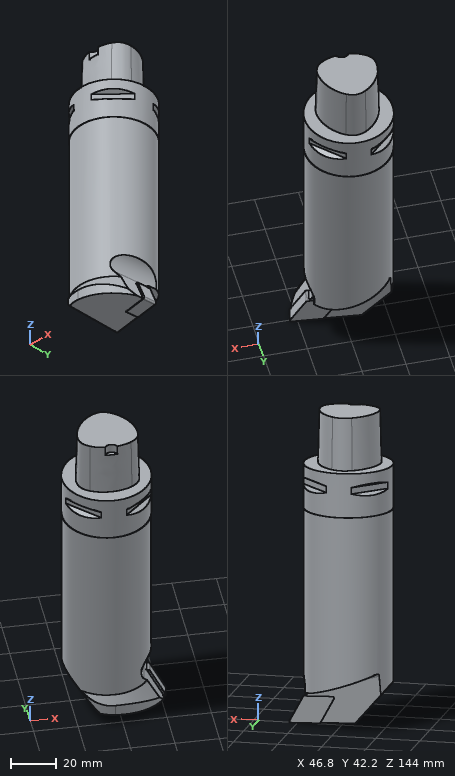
import cadquery as cq
import math


shank_length = 23.9
lobe_mean_radius = 14.1
lobe_rise = 0.94
lobe_face_count = 6
lobe_curve_steps = 6
shank_taper = 1 / 20
shank_top_mean_radius = lobe_mean_radius - shank_length * shank_taper / 2
keyway_radius = 3.0
keyway_center_y = -13.7
keyway_depth = 4.2

flange_diameter = 40.0
flange_length = 20.2
groove_count = 4
first_groove_angle = 45
groove_z = -7.8
groove_floor_distance = 17.5
groove_floor_width = 2.9
groove_mouth_width = 5.5

body_diameter = 39.7
flare_start_z = -105.8
flare_half_angle = 28
head_end_z = -129.6
head_front_y = -22.2
head_left_radius = 15.8
head_right_radius = 28.8

relief_top_z = -99.4
relief_end_x = -4.5
relief_end_z = -117.4

tip = (27.4, 0, -120.2)
rake_y_per_x = -0.19
rake_y_per_z = 0.105
inward = cq.Vector(rake_y_per_x, -1, rake_y_per_z)
rake_plane = cq.Plane(origin=tip, xDir=(1, rake_y_per_x, 0), normal=inward.toTuple())

insert_edge = 15.5
insert_thickness = 6.3
insert_nose_radius = 0.7
insert_angle = 55
bottom_edge_angle = 175.3
flank_edge_angle = bottom_edge_angle - insert_angle
insert_overhang_flank = 1.0
insert_overhang_bottom = 0.3

scallop_radius = 7.0
scallop_start = 17.5
roof_axis_z = -97.9
roof_slope = -0.33
roof_fillet_radius = 1.2

cut_reach = 86.4


def polar(length, angle):
    """Vector of a given length and angle in degrees."""
    return cq.Vector(length * math.cos(math.radians(angle)), length * math.sin(math.radians(angle)), 0)


def lobe_point(mean_radius, turn):
    """Point on a constant-width three-lobed curve with a lobe on +Y; turn runs from 0 to 1."""
    angle = 2 * math.pi * turn
    lobe_angle = 3 * (angle - math.pi / 2)
    support = mean_radius + lobe_rise * math.cos(lobe_angle)
    support_rate = -3 * lobe_rise * math.sin(lobe_angle)
    return (
        support * math.cos(angle) - support_rate * math.sin(angle),
        support * math.sin(angle) + support_rate * math.cos(angle),
    )


def add_lobe_outline(workplane, mean_radius):
    """Closed outline of six smoothly joined curves: three lobes and three flanks."""
    for face in range(lobe_face_count):
        turns = [(face + step / lobe_curve_steps) / lobe_face_count for step in range(lobe_curve_steps + 1)]
        points = [lobe_point(mean_radius, turn) for turn in turns]
        end_angles = [2 * math.pi * turn for turn in (turns[0], turns[-1])]
        tangents = [(-math.sin(angle), math.cos(angle)) for angle in end_angles]
        if face == 0:
            workplane = workplane.moveTo(*points[0])
        workplane = workplane.spline(points[1:], tangents=tangents, includeCurrent=True)
    return workplane.close()


def make_shank():
    base = add_lobe_outline(cq.Workplane("XY"), lobe_mean_radius)
    both_ends = add_lobe_outline(base.workplane(offset=shank_length), shank_top_mean_radius)
    shank = both_ends.loft(ruled=True)
    keyway = (
        cq.Workplane("XY", origin=(0, keyway_center_y, shank_length))
        .circle(keyway_radius)
        .extrude(-keyway_depth)
    )
    return shank.cut(keyway)


def make_gripper_groove(angle):
    """Flat-floored groove with sloping walls, cut as a chord across the flange."""
    outer = flange_diameter / 2
    slope = (groove_mouth_width - groove_floor_width) / 2 / (outer - groove_floor_distance)
    cutter_outer = flange_diameter
    half_floor = groove_floor_width / 2
    half_outer = half_floor + slope * (cutter_outer - groove_floor_distance)
    return (
        cq.Workplane("XZ", origin=(0, 0, groove_z))
        .moveTo(groove_floor_distance, -half_floor)
        .lineTo(cutter_outer, -half_outer)
        .lineTo(cutter_outer, half_outer)
        .lineTo(groove_floor_distance, half_floor)
        .close()
        .extrude(flange_diameter / 2, both=True)
        .rotate((0, 0, 0), (0, 0, 1), angle)
    )


def make_flange():
    flange = cq.Workplane("XY").circle(flange_diameter / 2).extrude(-flange_length)
    for index in range(groove_count):
        flange = flange.cut(make_gripper_groove(first_groove_angle + index * 360 / groove_count))
    return flange


def make_body():
    return (
        cq.Workplane("XY", origin=(0, 0, -flange_length))
        .circle(body_diameter / 2)
        .extrude(head_end_z + flange_length)
    )


def make_flared_head():
    """Cone below the body, bounded by a two-arc wall on the -Y side."""
    body_radius = body_diameter / 2
    drop = flare_start_z - head_end_z
    end_radius = body_radius + drop * math.tan(math.radians(flare_half_angle))
    cone = (
        cq.Workplane("XZ")
        .moveTo(0, flare_start_z)
        .lineTo(body_radius, flare_start_z)
        .lineTo(end_radius, head_end_z)
        .lineTo(0, head_end_z)
        .close()
        .revolve(360, (0, 0, 0), (0, 1, 0))
    )
    left_center_y = head_front_y + head_left_radius
    right_center_y = head_front_y + head_right_radius
    diagonal = math.sqrt(0.5)
    wall = (
        cq.Workplane("XY", origin=(0, 0, flare_start_z))
        .moveTo(-head_left_radius, left_center_y)
        .threePointArc(
            (-head_left_radius * diagonal, left_center_y - head_left_radius * diagonal),
            (0, head_front_y),
        )
        .threePointArc(
            (head_right_radius * diagonal, right_center_y - head_right_radius * diagonal),
            (head_right_radius, right_center_y),
        )
        .lineTo(0, right_center_y)
        .close()
        .extrude(-drop)
    )
    return cone.intersect(wall)


def make_relief_cut():
    start_x = -body_diameter / 2
    slope = (relief_end_z - relief_top_z) / (relief_end_x - start_x)
    outer_x = -cut_reach
    outer_z = relief_top_z + slope * (outer_x - start_x)
    inner_x = (head_end_z - relief_top_z) / slope + start_x
    return (
        cq.Workplane("XZ")
        .moveTo(outer_x, outer_z)
        .lineTo(inner_x, head_end_z)
        .lineTo(outer_x, head_end_z)
        .close()
        .extrude(cut_reach, both=True)
    )


def make_chip_space():
    """Everything on the open side of the rake plane, below a sloping roof."""
    open_side = cq.Workplane(rake_plane).rect(2 * cut_reach, 2 * cut_reach).extrude(-cut_reach)
    below_roof = (
        cq.Workplane("XZ")
        .moveTo(-cut_reach, roof_axis_z - roof_slope * cut_reach)
        .lineTo(cut_reach, roof_axis_z + roof_slope * cut_reach)
        .lineTo(cut_reach, -2 * cut_reach)
        .lineTo(-cut_reach, -2 * cut_reach)
        .close()
        .extrude(cut_reach, both=True)
    )
    roof_edge_y = rake_y_per_z * (roof_axis_z - tip[2]) - rake_y_per_x * tip[0]
    roof_edge = cq.selectors.NearestToPointSelector((0, roof_edge_y, roof_axis_z))
    return open_side.intersect(below_roof).edges(roof_edge).fillet(roof_fillet_radius)


def holder_corner():
    """Corner of the holder under the insert, set back from the two cutting edges."""
    along_bottom = insert_overhang_flank / math.sin(math.radians(insert_angle))
    along_flank = insert_overhang_bottom / math.sin(math.radians(insert_angle))
    return polar(along_bottom, bottom_edge_angle) + polar(along_flank, flank_edge_angle)


def make_flank_cut():
    """Slanted flank that runs up into a round scallop in the side of the body."""
    low = holder_corner() - polar(cut_reach, flank_edge_angle)
    tangent = holder_corner() + polar(scallop_start, flank_edge_angle)
    center = tangent + polar(scallop_radius, flank_edge_angle - 90)
    side = center - cq.Vector(scallop_radius, 0, 0)
    top = center + cq.Vector(0, scallop_radius, 0)
    return (
        cq.Workplane(rake_plane)
        .moveTo(low.x, low.y)
        .lineTo(tangent.x, tangent.y)
        .threePointArc((side.x, side.y), (top.x, top.y))
        .lineTo(cut_reach, top.y)
        .lineTo(cut_reach, low.y)
        .close()
        .extrude(cut_reach, both=True)
    )


def make_bottom_cut():
    corner = holder_corner()
    left = corner + polar(cut_reach, bottom_edge_angle)
    right = corner - polar(cut_reach, bottom_edge_angle)
    return (
        cq.Workplane(rake_plane)
        .moveTo(left.x, left.y)
        .lineTo(right.x, right.y)
        .lineTo(right.x, -cut_reach)
        .lineTo(left.x, -cut_reach)
        .close()
        .extrude(cut_reach, both=True)
    )


def make_insert():
    along_flank = polar(insert_edge, flank_edge_angle)
    along_bottom = polar(insert_edge, bottom_edge_angle)
    far_corner = along_flank + along_bottom
    return (
        cq.Workplane(rake_plane)
        .moveTo(0, 0)
        .lineTo(along_flank.x, along_flank.y)
        .lineTo(far_corner.x, far_corner.y)
        .lineTo(along_bottom.x, along_bottom.y)
        .close()
        .extrude(insert_thickness)
        .edges(cq.selectors.ParallelDirSelector(inward))
        .fillet(insert_nose_radius)
    )


def make_holder(insert):
    """Shank, flange, body and head in one piece, with a seat that matches the insert."""
    return (
        make_body()
        .union(make_flared_head())
        .cut(make_relief_cut())
        .cut(make_chip_space())
        .cut(make_flank_cut())
        .cut(make_bottom_cut())
        .cut(insert)
        .union(make_flange())
        .union(make_shank())
    )


insert = make_insert()
holder = make_holder(insert)
result = cq.Compound.makeCompound([holder.solids().val(), insert.solids().val()])